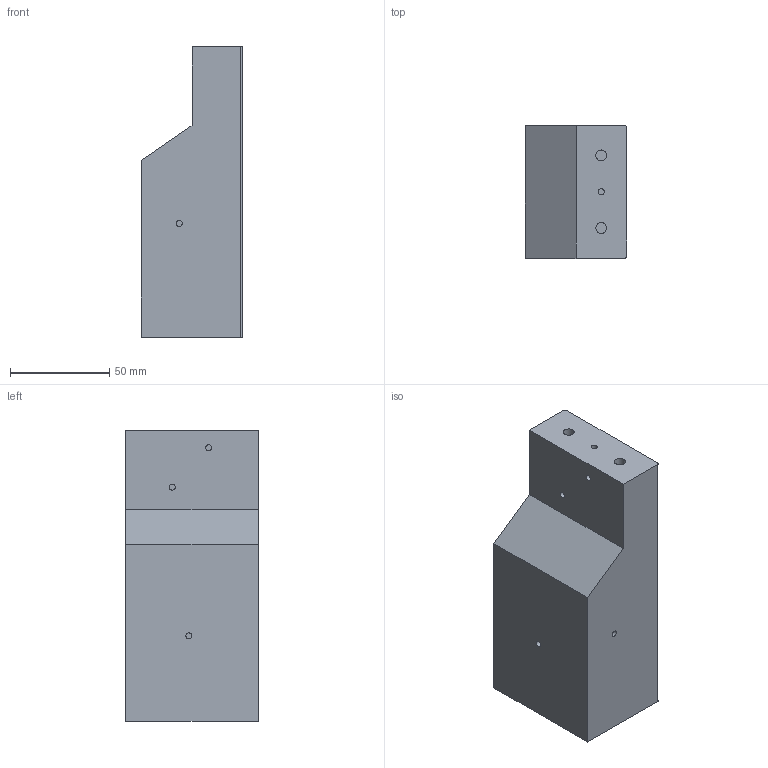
import cadquery as cq

width = 50.8
depth = 66.7
height = 146.0

neck_thickness = width / 2
neck_height = 39.6
slope_drop = 17.5

edge_radius = 1.0

mount_diameter = 5.5
mount_spacing = 36.5
mount_depth = 15.0
row_x = width / 2 - neck_thickness / 2

small_diameter = 3.0
small_depth = 10.0

neck_hole_places = [
    (-8.35, height - 8.5),
    (9.95, height - 28.3),
]
body_hole_y = 1.6
body_hole_z = 42.9
front_hole_x = -6.4
front_hole_z = 57.2

left = -width / 2
right = width / 2
neck_left = right - neck_thickness
front = -depth / 2


def make_body():
    """Stepped side outline extruded along Y, with the two +X upright edges rounded."""
    slope_top = height - neck_height
    outline = [
        (left, 0),
        (right, 0),
        (right, height),
        (neck_left, height),
        (neck_left, slope_top),
        (left, slope_top - slope_drop),
    ]
    body = cq.Workplane("XZ").polyline(outline).close().extrude(depth / 2, both=True)
    return body.faces(">X").edges("|Z").fillet(edge_radius)


def hole_cutter(start, direction, diameter, hole_depth):
    """Cylinder to cut, running from a point on a face into the part."""
    return cq.Solid.makeCylinder(diameter / 2, hole_depth, cq.Vector(*start), cq.Vector(*direction))


def cut_small_hole(body, start, direction):
    """One small blind hole running from a point on a face into the part."""
    return body.cut(hole_cutter(start, direction, small_diameter, small_depth))


def cut_top_holes(body):
    """Two mounting holes and a smaller hole midway between them."""
    down = (0, 0, -1)
    for y in (-mount_spacing / 2, mount_spacing / 2):
        body = body.cut(hole_cutter((row_x, y, height), down, mount_diameter, mount_depth))
    return cut_small_hole(body, (row_x, 0, height), down)


def cut_side_holes(body):
    """Holes in the -X faces of neck and body, and one in the -Y face."""
    inward_x = (1, 0, 0)
    inward_y = (0, 1, 0)
    for y, z in neck_hole_places:
        body = cut_small_hole(body, (neck_left, y, z), inward_x)
    body = cut_small_hole(body, (left, body_hole_y, body_hole_z), inward_x)
    return cut_small_hole(body, (front_hole_x, front, front_hole_z), inward_y)


body = make_body()
body = cut_top_holes(body)
result = cut_side_holes(body)